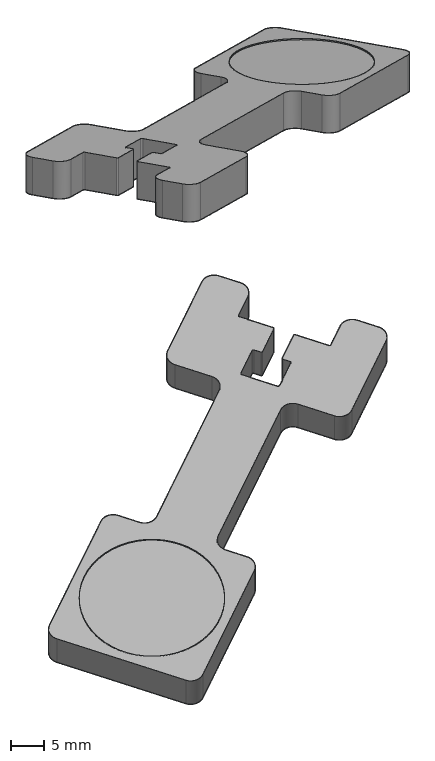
import cadquery as cq

thickness = 6.0
total_length = 72.5
corner_radius = 2.0

head_size = 25.0
recess_diameter = 22.0
recess_depth = 0.2

shank_width = 10.0

bit_width = 30.0
bit_length = 18.0
mouth_width = 15.0
mouth_depth = 6.0
neck_width = 3.2
neck_depth = 5.0
pocket_width = 6.3
pocket_depth = 5.0
pocket_end_radius = 0.3
step_radius = 0.2

head_start = total_length - head_size
head_center = total_length - head_size / 2
neck_start = mouth_depth
pocket_start = neck_start + neck_depth
pocket_end = pocket_start + pocket_depth


def centered_block(width, y_start, y_end):
    """Full-thickness block centered on X, reaching from y_start to y_end."""
    block = cq.Workplane("XY").box(width, y_end - y_start, thickness, centered=(True, False, False))
    return block.translate((0, y_start, 0))


def round_edge_pair(part, width, y, radius):
    """Round the two upright edges that stand at y, width apart and centered on X."""
    for side in (-1, 1):
        edge_middle = (side * width / 2, y, thickness / 2)
        part = part.edges(cq.selectors.NearestToPointSelector(edge_middle)).fillet(radius)
    return part


def key_blank():
    """Head, shank and bit, with all their upright edges rounded."""
    head = centered_block(head_size, head_start, total_length)
    shank = centered_block(shank_width, bit_length, head_start)
    bit = centered_block(bit_width, 0, bit_length)
    return head.union(shank).union(bit).edges("|Z").fillet(corner_radius)


def cut_bit_opening(key):
    """Mouth, neck and pocket cut through the bit, with rounded corners."""
    key = key.cut(centered_block(mouth_width, 0, neck_start))
    key = key.cut(centered_block(neck_width, neck_start, pocket_start))
    key = key.cut(centered_block(pocket_width, pocket_start, pocket_end))

    key = round_edge_pair(key, mouth_width, 0, corner_radius)

    key = round_edge_pair(key, mouth_width, neck_start, step_radius)
    key = round_edge_pair(key, neck_width, neck_start, step_radius)
    key = round_edge_pair(key, neck_width, pocket_start, step_radius)
    key = round_edge_pair(key, pocket_width, pocket_start, step_radius)

    return round_edge_pair(key, pocket_width, pocket_end, pocket_end_radius)


def cut_head_recess(key):
    """Shallow disc removed from the top of the head."""
    floor_center = (0, head_center, thickness - recess_depth)
    disc = cq.Workplane("XY", origin=floor_center).circle(recess_diameter / 2).extrude(recess_depth)
    return key.cut(disc)


result = cut_head_recess(cut_bit_opening(key_blank()))